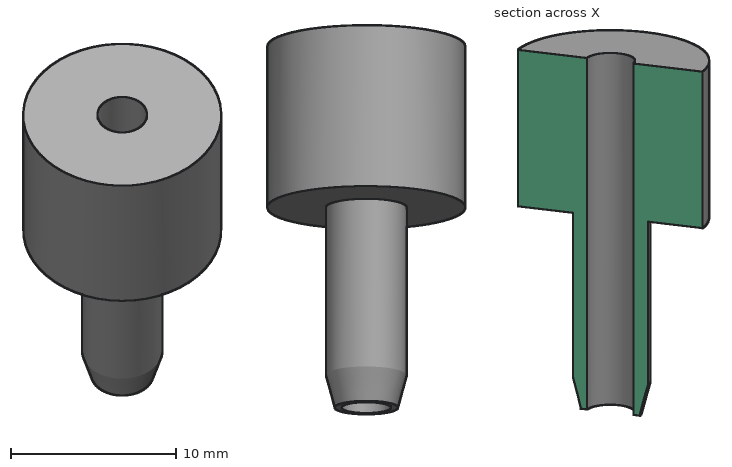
import cadquery as cq
import math

total_length = 22.4
head_diameter = 12.0
head_length = 10.0
shank_diameter = 4.9
bore_diameter = 3.0

tip_length = 2.0
tip_half_angle = 15.0

head_radius = head_diameter / 2
shank_radius = shank_diameter / 2
bore_radius = bore_diameter / 2
tip_radius = shank_radius - tip_length * math.tan(math.radians(tip_half_angle))
head_bottom = total_length - head_length

half_section = (
    cq.Workplane("XZ")
    .moveTo(bore_radius, 0)
    .lineTo(tip_radius, 0)
    .lineTo(shank_radius, tip_length)
    .lineTo(shank_radius, head_bottom)
    .lineTo(head_radius, head_bottom)
    .lineTo(head_radius, total_length)
    .lineTo(bore_radius, total_length)
    .close()
)

result = half_section.revolve(360, (0, 0, 0), (0, 1, 0))